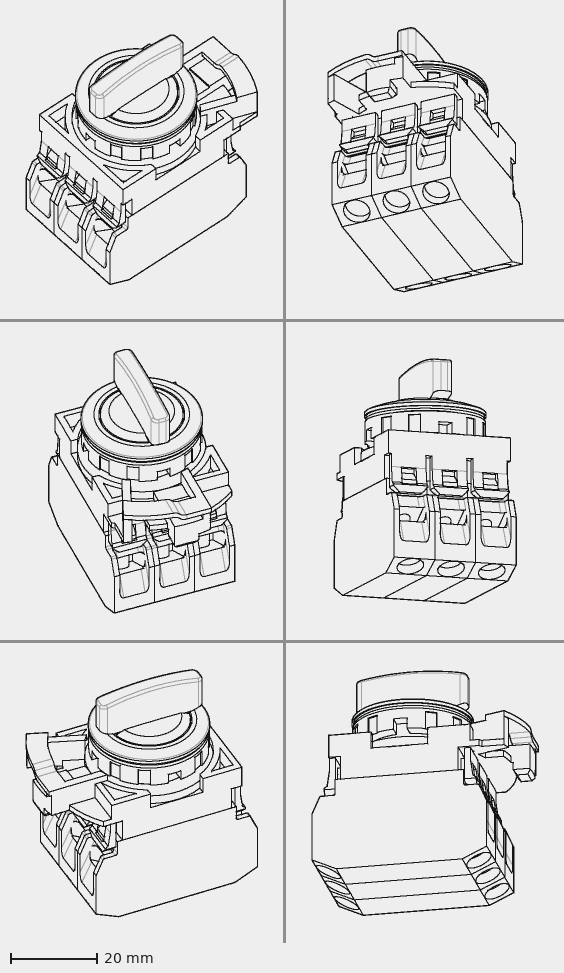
import cadquery as cq
import math


block_count = 3
block_width = 10.0
block_half_depth = 20.7
block_base_half_depth = 14.9
block_neck_half_depth = 15.25
block_foot_height = 2.7
block_side_height = 14.05
block_shoulder_half_depth = 18.8
block_shoulder_height = 18.35
block_top = 22.25
block_corner_radius = 0.5

terminal_width = 7.3
terminal_bottom = 6.7
terminal_sill_height = 11.85
terminal_lip_height = 15.6
terminal_lip_depth = 16.55
terminal_sill_depth = 18.2
terminal_back_depth = 10.2
terminal_pocket_slope = 0.57
terminal_corner_radius = 1.0
screw_radius = 1.75
screw_depth = 12.5
wire_hole_radius = 3.1
wire_hole_depth = 2.5
cutter_overrun = 1.0

catch_width = 3.6
catch_top = 26.3
catch_ramp_top = 23.7
catch_ramp_end = 21.9
catch_bottom = 20.8
catch_reach = 17.1
catch_root = 0.5

adapter_width = block_count * block_width
adapter_half_depth = 16.7
adapter_core_half_depth = 13.95
adapter_ledge = 27.9
adapter_top = 33.4
seat_height = 29.4
seat_radius = 14.9
side_window_width = 13.4
rim_radius = 16.45
corner_pocket_x = 13.35
corner_pocket_y = 15.2

leg_width = 8.5
leg_tip_width = 5.6
leg_bend_height = 24.8
leg_window_width = catch_width
leg_window_bottom = catch_bottom
hook_flare_depth = 17.25
hook_flare_height = 21.1
hook_depth = 18.0
hook_top = 20.5
hook_taper_height = 20.2
hook_bottom = 18.7
hook_bottom_depth = 16.3
hook_heel_height = 19.5

arm_radius = 28.5
arm_inner_radius = 23.5
arm_left = -6.1
arm_right = 14.3
arm_low_top = 35.05
arm_high_top = 36.4
arm_thickness = 1.35
arm_step_start = 0.2
arm_step_end = 3.3
rail_width = 2.0
platform_right = 3.0
platform_top = 32.1
platform_step_y = 19.7
floor_radius = 24.1
floor_hole_radius = 20.0
floor_hole_x = (7.15, 11.5)
strut_width = 2.0
strut_tilt = math.radians(20)
strut_length = 14.5
web_front_y = 18.0
foot_left = -3.0
foot_front_y = 24.4
foot_bottom = 25.0
foot_taper_height = 26.1
foot_tip_inset = 0.8

flange_top = 31.65
neck_radius = 10.55
collar_radius = 11.07
bezel_bottom = 39.8
bezel_foot_radius = 13.76
bezel_radius = 14.1
bezel_edge_bottom = 40.4
bezel_edge_top = 41.2
bezel_shoulder_height = 41.45
bezel_top = 42.4
knob_seat_height = 41.4
knob_seat_radius = 9.95

nut_radius = 13.97
nut_bottom = 34.1
nut_top = 39.1
nut_notch_width = 3.2
nut_notch_top = 36.65
nut_grip_width = 2.8
nut_grip_top = 38.35
nut_grip_depth = 0.45
nut_positions = 12
nut_notch_spacing = 3

knob_radius = 9.6
knob_top_radius = 7.6
knob_disc_top = 43.4
grip_width = 4.6
grip_waist = 4.0
grip_half_length = 13.1
grip_neck_half_length = 9.7
grip_neck_height = 43.0
grip_underside = 44.2
grip_end_height = 51.5
grip_top = 53.0
grip_corner_radius = 1.4
grip_top_radius = 0.6


def box(x_range, y_range, z_range):
    """Axis-aligned box from its limits."""
    size = [high - low for low, high in (x_range, y_range, z_range)]
    corner = (x_range[0], y_range[0], z_range[0])
    return cq.Workplane("XY").box(*size, centered=False).translate(corner)


def disc(radius, z_range):
    """Upright cylinder on the switch axis."""
    low, high = z_range
    return cq.Workplane("XY").workplane(offset=low).circle(radius).extrude(high - low)


def side_profile(points, width):
    """Extrude a (Y, Z) outline along X, centred on X = 0."""
    return cq.Workplane("YZ").polyline(points).close().extrude(width / 2, both=True)


def front_and_back(shape):
    """A front feature together with its mirror image at the back."""
    return shape.union(shape.mirror("XZ"))


def block_body():
    """Outer form of one contact block, with rounded shoulders."""
    half_outline = [
        (block_base_half_depth, 0),
        (block_half_depth, block_foot_height),
        (block_half_depth, block_side_height),
        (block_shoulder_half_depth, block_shoulder_height),
        (block_neck_half_depth, block_shoulder_height),
        (block_neck_half_depth, block_top),
    ]
    outline = half_outline + [(-y, z) for y, z in reversed(half_outline)]
    body = side_profile(outline, block_width)

    shoulder_zone = cq.selectors.BoxSelector(
        (-block_width, -block_half_depth, block_shoulder_height - block_corner_radius),
        (block_width, block_half_depth, block_shoulder_height + block_corner_radius),
    )
    return body.edges("|X").edges(shoulder_zone).fillet(block_corner_radius)


def terminal_opening():
    """Front opening: ramp and upper slope, a pocket sinking inward, and the screw left standing in it."""
    clear = block_half_depth + cutter_overrun
    ramp_slope = (terminal_sill_height - terminal_bottom) / (block_half_depth - terminal_sill_depth)
    ramp_start = terminal_bottom - ramp_slope * (clear - block_half_depth)
    roof_run = terminal_lip_depth - terminal_back_depth
    floor_run = terminal_sill_depth - terminal_back_depth
    pocket_roof_end = terminal_lip_height - terminal_pocket_slope * roof_run
    pocket_floor_end = terminal_sill_height - terminal_pocket_slope * floor_run
    lower = side_profile(
        [
            (-clear, ramp_start),
            (-terminal_sill_depth, terminal_sill_height),
            (-terminal_sill_depth, terminal_lip_height),
            (-clear, terminal_lip_height),
        ],
        terminal_width,
    )
    lower = lower.faces("<Z").edges("not |X").fillet(terminal_corner_radius)
    upper = side_profile(
        [
            (-clear, terminal_lip_height),
            (-terminal_lip_depth, terminal_lip_height),
            (-block_neck_half_depth, block_shoulder_height),
            (-clear, block_shoulder_height),
        ],
        terminal_width,
    )
    upper = upper.faces(">Y").edges("not |X").fillet(terminal_corner_radius)
    pocket = side_profile(
        [
            (-terminal_sill_depth, terminal_sill_height),
            (-terminal_sill_depth, terminal_lip_height),
            (-terminal_lip_depth, terminal_lip_height),
            (-terminal_back_depth, pocket_roof_end),
            (-terminal_back_depth, pocket_floor_end),
        ],
        terminal_width,
    )
    screw = (
        cq.Workplane("XY", origin=(0, -screw_depth, 0))
        .circle(screw_radius)
        .extrude(terminal_lip_height)
    )
    return lower.union(upper).union(pocket.cut(screw))


def wire_hole():
    """Blind round hole square to the sloping foot of the block."""
    run = block_half_depth - block_base_half_depth
    middle_y = (block_half_depth + block_base_half_depth) / 2
    slope = cq.Plane(
        origin=(0, -middle_y, block_foot_height / 2),
        xDir=(1, 0, 0),
        normal=(0, block_foot_height, run),
    )
    return cq.Workplane(slope).circle(wire_hole_radius).extrude(wire_hole_depth)


def catch():
    """Post standing against the adapter core with a ramp that fills the leg window."""
    return side_profile(
        [
            (-adapter_core_half_depth, block_top - catch_root),
            (-adapter_core_half_depth, catch_top),
            (-block_neck_half_depth, catch_top),
            (-block_neck_half_depth, catch_ramp_top),
            (-catch_reach, catch_ramp_end),
            (-catch_reach, catch_bottom),
            (-block_neck_half_depth + catch_root, catch_bottom),
            (-block_neck_half_depth + catch_root, block_top - catch_root),
        ],
        catch_width,
    )


def contact_block(x):
    """One contact block with its terminals, wire holes and catches, centred at X = x."""
    body = block_body()
    body = body.cut(front_and_back(terminal_opening()))
    body = body.cut(front_and_back(wire_hole()))
    body = body.union(front_and_back(catch()))
    return body.translate((x, 0, 0))


def corner_pockets():
    """Four corner recesses outside the round rim of the operator seat."""
    pocket_box = box(
        (-corner_pocket_x, corner_pocket_x),
        (-corner_pocket_y, corner_pocket_y),
        (seat_height, adapter_top),
    )
    return pocket_box.cut(disc(rim_radius, (seat_height, adapter_top)))


def adapter_leg():
    """Front snap leg with its hook and catch window, centred on X = 0."""
    leg = side_profile(
        [
            (-block_neck_half_depth, adapter_ledge),
            (-adapter_half_depth, adapter_ledge),
            (-adapter_half_depth, leg_bend_height),
            (-hook_flare_depth, hook_flare_height),
            (-hook_depth, hook_top),
            (-hook_depth, hook_bottom),
            (-hook_bottom_depth, hook_bottom),
            (-block_neck_half_depth, hook_heel_height),
        ],
        leg_width,
    )
    front_outline = [
        (-leg_width / 2, adapter_ledge),
        (-leg_width / 2, hook_taper_height),
        (-leg_tip_width / 2, hook_bottom),
        (leg_tip_width / 2, hook_bottom),
        (leg_width / 2, hook_taper_height),
        (leg_width / 2, adapter_ledge),
    ]
    taper = cq.Workplane("XZ").polyline(front_outline).close().extrude(hook_depth)
    window = box(
        (-leg_window_width / 2, leg_window_width / 2),
        (-hook_depth, -block_neck_half_depth),
        (leg_window_bottom, leg_bend_height),
    )
    return leg.intersect(taper).cut(window)


def arm_point(radius):
    """Point where the outer strut line, drawn from the arm tip, reaches a radius."""
    tip_y = math.sqrt(arm_radius**2 - arm_right**2)
    across, along = math.sin(strut_tilt), math.cos(strut_tilt)
    middle = arm_right * across + tip_y * along
    half_chord = math.sqrt(middle**2 - arm_radius**2 + radius**2)
    distance = middle - half_chord
    return (arm_right - distance * across, tip_y - distance * along)


def arc_middle(start, end):
    """Point midway along an arc about the switch axis."""
    angle = (math.atan2(start[1], start[0]) + math.atan2(end[1], end[0])) / 2
    radius = math.hypot(*start)
    return (radius * math.cos(angle), radius * math.sin(angle))


def latch_bar():
    """Curved bar that steps up from the rail height to the higher arc."""
    outer_start, outer_end = (0, arm_radius), arm_point(arm_radius)
    inner_start, inner_end = arm_point(arm_inner_radius), (0, arm_inner_radius)
    plan = (
        cq.Workplane("XY")
        .moveTo(arm_left, arm_radius)
        .lineTo(*outer_start)
        .threePointArc(arc_middle(outer_start, outer_end), outer_end)
        .lineTo(*inner_start)
        .threePointArc(arc_middle(inner_start, inner_end), inner_end)
        .lineTo(arm_left, arm_inner_radius)
        .close()
        .extrude(arm_high_top)
    )
    low_bottom = arm_low_top - arm_thickness
    high_bottom = arm_high_top - arm_thickness
    step_middle = (arm_step_start + arm_step_end) / 2
    section = (
        cq.Workplane("XZ")
        .moveTo(arm_left, arm_low_top)
        .lineTo(arm_step_start, arm_low_top)
        .tangentArcPoint((step_middle, (arm_low_top + arm_high_top) / 2), relative=False)
        .tangentArcPoint((arm_step_end, arm_high_top), relative=False)
        .lineTo(arm_right, arm_high_top)
        .lineTo(arm_right, high_bottom)
        .lineTo(arm_step_end, high_bottom)
        .tangentArcPoint((step_middle, (low_bottom + high_bottom) / 2), relative=False)
        .tangentArcPoint((arm_step_start, low_bottom), relative=False)
        .lineTo(arm_left, low_bottom)
        .close()
        .extrude(-arm_radius)
    )
    return plan.intersect(section)


def latch_floor():
    """Sector floor behind the adapter, with its opening under the curved bar."""
    levels = (adapter_ledge, seat_height)
    half_width = adapter_width / 2
    floor = disc(floor_radius, levels)
    floor = floor.intersect(box((-half_width, half_width), (adapter_core_half_depth, arm_radius), levels))
    opening = box(floor_hole_x, (0, floor_radius), levels).cut(disc(floor_hole_radius, levels))
    return floor.cut(opening)


def latch_strut():
    """Slanting wall under the tip of the bar, and the floor web outside it."""
    tip_x, tip_y = arm_point(arm_radius)
    across, along = math.sin(strut_tilt), math.cos(strut_tilt)
    end = (tip_x - strut_length * across, tip_y - strut_length * along)
    side = (-strut_width * along, strut_width * across)
    outline = [
        (tip_x, tip_y),
        end,
        (end[0] + side[0], end[1] + side[1]),
        (tip_x + side[0], tip_y + side[1]),
    ]
    wall_height = arm_high_top - arm_thickness - adapter_ledge
    wall = cq.Workplane("XY").workplane(offset=adapter_ledge).polyline(outline).close().extrude(wall_height)
    wall = wall.intersect(disc(arm_radius, (adapter_ledge, arm_high_top)))
    web_inner_x = tip_x - (tip_y - web_front_y) * math.tan(strut_tilt)
    web = (
        cq.Workplane("XY")
        .workplane(offset=adapter_ledge)
        .polyline([(tip_x, tip_y), (tip_x, web_front_y), (web_inner_x, web_front_y)])
        .close()
        .extrude(seat_height - adapter_ledge)
    )
    return wall.union(web)


def latch_foot():
    """Downward foot under the back of the platform, tapered on all sides at its tip."""
    length = platform_right - foot_left
    depth = arm_radius - foot_front_y
    centre = ((platform_right + foot_left) / 2, (arm_radius + foot_front_y) / 2)
    block = box((foot_left, platform_right), (foot_front_y, arm_radius), (foot_taper_height, adapter_ledge))
    tip = (
        cq.Workplane("XY", origin=(*centre, foot_bottom))
        .rect(length - 2 * foot_tip_inset, depth - 2 * foot_tip_inset)
        .workplane(offset=foot_taper_height - foot_bottom)
        .rect(length, depth)
        .loft()
    )
    return block.union(tip)


def latch_arm():
    """Rail, stepped platform and foot, with the bar, floor and strut beside them."""
    rail_right = arm_left + rail_width
    rail = box((arm_left, rail_right), (0, arm_radius), (adapter_ledge, arm_low_top))
    platform_x = (rail_right, platform_right)
    platform = box(platform_x, (platform_step_y, arm_radius), (adapter_ledge, platform_top))
    low_platform = box(platform_x, (seat_radius, platform_step_y), (adapter_ledge, flange_top))
    base = rail.union(platform).union(low_platform).union(latch_foot())
    base = base.intersect(disc(arm_radius, (foot_bottom, arm_low_top)))
    return base.union(latch_bar()).union(latch_floor()).union(latch_strut())


def make_adapter(leg_places):
    """Adapter head and core with the operator seat, the latch arm and a pair of legs per block."""
    half_width = adapter_width / 2
    across = (-half_width, half_width)
    core = box(across, (-adapter_core_half_depth, adapter_core_half_depth), (block_top, adapter_ledge))
    head = box(across, (-adapter_half_depth, adapter_half_depth), (adapter_ledge, adapter_top))
    gap_ends = (arm_left + rail_width, arm_point(seat_radius)[0])
    arm_gap = box(gap_ends, (0, adapter_half_depth), (seat_height, adapter_top))
    head = head.cut(corner_pockets()).cut(arm_gap)
    side_windows = box(
        across,
        (-side_window_width / 2, side_window_width / 2),
        (seat_height, adapter_top),
    )
    adapter = core.union(head).cut(side_windows).union(latch_arm())
    adapter = adapter.cut(disc(seat_radius, (seat_height, arm_high_top)))
    for x in leg_places:
        adapter = adapter.union(front_and_back(adapter_leg()).translate((x, 0, 0)))
    return adapter


def make_operator():
    """Turned body: flange in the adapter seat, neck, collar and bezel with the knob seat."""
    outline = [
        (0, seat_height),
        (seat_radius, seat_height),
        (seat_radius, flange_top),
        (neck_radius, flange_top),
        (neck_radius, nut_top),
        (collar_radius, nut_top),
        (collar_radius, bezel_bottom),
        (bezel_foot_radius, bezel_bottom),
        (bezel_foot_radius, bezel_edge_bottom),
        (bezel_radius, bezel_edge_bottom),
        (bezel_radius, bezel_edge_top),
        (bezel_foot_radius, bezel_shoulder_height),
        (collar_radius, bezel_top),
        (knob_seat_radius, bezel_top),
        (knob_seat_radius, knob_seat_height),
        (0, knob_seat_height),
    ]
    return cq.Workplane("XZ").polyline(outline).close().revolve(360, (0, 0, 0), (0, 1, 0))


def make_nut():
    """Lock nut with four spanner notches and two shallow grip recesses between each pair."""
    nut = disc(nut_radius, (nut_bottom, nut_top)).cut(disc(neck_radius, (nut_bottom, nut_top)))
    notch = box(
        (0, nut_radius),
        (-nut_notch_width / 2, nut_notch_width / 2),
        (nut_bottom, nut_notch_top),
    )
    recess = box(
        (nut_radius - nut_grip_depth, nut_radius),
        (-nut_grip_width / 2, nut_grip_width / 2),
        (nut_bottom, nut_grip_top),
    )
    for position in range(nut_positions):
        cutter = notch if position % nut_notch_spacing == 0 else recess
        angle = position * 360 / nut_positions
        nut = nut.cut(cutter.rotate((0, 0, 0), (0, 0, 1), angle))
    return nut


def knob_grip():
    """Upright blade with an arched top, waisted sides and undercut ends."""
    side = (
        cq.Workplane("YZ")
        .moveTo(-grip_neck_half_length, grip_neck_height)
        .lineTo(-grip_half_length, grip_underside)
        .lineTo(-grip_half_length, grip_end_height)
        .threePointArc((0, grip_top), (grip_half_length, grip_end_height))
        .lineTo(grip_half_length, grip_underside)
        .lineTo(grip_neck_half_length, grip_neck_height)
        .close()
        .extrude(grip_width / 2, both=True)
    )
    half_width = grip_width / 2
    plan = (
        cq.Workplane("XY")
        .moveTo(-half_width, -grip_half_length)
        .lineTo(half_width, -grip_half_length)
        .threePointArc((grip_waist / 2, 0), (half_width, grip_half_length))
        .lineTo(-half_width, grip_half_length)
        .threePointArc((-grip_waist / 2, 0), (-half_width, -grip_half_length))
        .close()
        .extrude(grip_top)
        .edges("|Z")
        .fillet(grip_corner_radius)
    )
    grip = side.intersect(plan)
    return grip.faces(">Z").edges().fillet(grip_top_radius)


def make_knob():
    """Knob disc seated in the bezel, with the grip standing on it."""
    disc_outline = [
        (0, knob_seat_height),
        (knob_radius, knob_seat_height),
        (knob_radius, bezel_top),
        (knob_top_radius, knob_disc_top),
        (0, knob_disc_top),
    ]
    knob_disc = cq.Workplane("XZ").polyline(disc_outline).close().revolve(360, (0, 0, 0), (0, 1, 0))
    grip_root = box(
        (-grip_waist / 2, grip_waist / 2),
        (-grip_neck_half_length, grip_neck_half_length),
        (knob_seat_height, grip_neck_height),
    )
    return knob_disc.union(grip_root.intersect(disc(knob_radius, (0, grip_top)))).union(knob_grip())


block_places = [(i - (block_count - 1) / 2) * block_width for i in range(block_count)]
contact_blocks = [contact_block(x) for x in block_places]
adapter = make_adapter(block_places)
operator = make_operator()
nut = make_nut()
knob = make_knob()

result = cq.Compound.makeCompound(
    [block.val() for block in contact_blocks] + [adapter.val(), operator.val(), nut.val(), knob.val()]
)